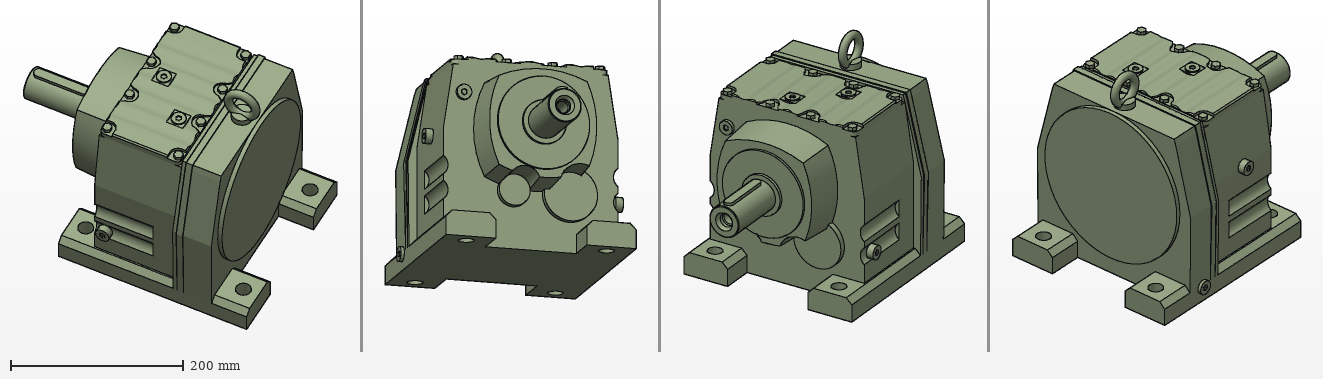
import cadquery as cq
import math

AXIS_Z = 140.0

SHAFT_R = 20.0
SHAFT_END_CHAMFER = 1.0
KEY_START = 4.5
KEY_LENGTH = 70.7
KEY_WIDTH = 12.0
KEY_TOP = 23.0
CENTRE_MOUTH_R = 11.5
CENTRE_RELIEF_R = 8.5
CENTRE_CORE_R = 7.0
CENTRE_CONE_DEPTH = 5.0
CENTRE_RELIEF_DEPTH = 10.0
CENTRE_CORE_DEPTH = 40.8

COLLAR_X = 80.0
DISC_X = 84.0
NOSE_X = 87.5
CAP_X = 129.2
CASE_X = 137.0
COVER_END_X = 242.0
FLANGE_X = 244.0
BAND_X = 249.2
BLOCK_X = 257.7
MOTOR_DISC_X = 294.5
MOTOR_DISC_END_X = 300.2

COLLAR_R = 26.2
DISC_R = 55.5
NOSE_FRONT_REACH = 65.0
NOSE_FRONT_CORNER = 53.5
NOSE_REAR_REACH = 69.5
NOSE_REAR_CORNER = 56.0
SMALL_CAP_Y = 21.8
SMALL_CAP_R = 18.7
LARGE_CAP_Y = -46.2
LARGE_CAP_R = 32.3
LARGE_CAP_CLEARANCE_R = 26.0
CAP_Z = 69.0

CASE_HALF_WIDTH = 105.7
CASE_TOP_HALF_WIDTH = 94.0
CASE_TOP_Z = 216.5
SIDE_GROOVE_R = 13.5
SIDE_GROOVE_DEPTH = 5.5
SIDE_GROOVE_END_X = 213.0
SIDE_GROOVE_HEIGHTS = (95.0, 65.0)

COVER_TOP_Z = 226.5
COVER_CORNER_R = 6.5
COVER_EDGE_WIDTH = 2.0
COVER_EDGE_HEIGHT = 1.7
COVER_END_CHAMFER = 1.5
RIDGE_PITCH = 24.0
CHANNEL_COUNT = 6
CHANNEL_WIDTH = 12.2
CHANNEL_EDGE_DROP = 1.0
CHANNEL_DEPTH = 2.0
PAD_Z = 222.7
PAD_R = 10.5
CORNER_PAD_WIDTH = 17.7
CORNER_PAD_R = 10.0
PAD_MOUTH_HALF_WIDTH = 15.0
SCREW_INSET = 6.0
SCREW_R = 5.8
SCREW_TOP_Z = 227.0
OUTER_SCREW_Y = 85.7
INNER_SCREW_YS = (27.2, -28.5)

PLUG_R = 9.0
PLUG_SOCKET_R = 3.7
PLUG_SOCKET_DEPTH = 2.0
PLUG_ROOT = 6.8
SIDE_PLUG_REACH = 114.2
SIDE_PLUG_LENGTH = 9.2
VENT_PLUG_X = 187.5
VENT_PLUG_Z = 140.8
DRAIN_PLUG_X = 151.3
DRAIN_PLUG_Z = 66.0
FRONT_PLUG_Y = 81.5
FRONT_PLUG_Z = 183.0
BLOCK_PLUG_X = 271.3
BLOCK_PLUG_Z = 19.7
FRONT_PLUG_HEAD = 4.5
BLOCK_PLUG_REACH = 119.5
PLUG_PAD_SIDE = 21.5
TOP_PLUG_Z = 228.0
TOP_PLUGS = ((167.3, 12.0), (211.5, -37.0))

FLANGE_HALF_WIDTH = 116.3
FLANGE_WAIST_Z = 125.0
FLANGE_TOP_HALF_WIDTH = 91.0
FLANGE_TOP_Z = 225.0
BAND_LIP = 1.5
MOTOR_DISC_R = FLANGE_TOP_Z - FLANGE_WAIST_Z

FOOT_X = 95.0
FOOT_END_X = 340.0
FOOT_OUTER_Y = 115.3
FOOT_INNER_Y = 55.0
FOOT_HEIGHT = 30.0
FOOT_CHAMFER = 7.5
FOOT_HOLE_R = 9.2
FOOT_HOLE_Y = 85.0
FOOT_HOLE_XS = (115.0, 320.3)

EYE_X = 275.0
EYE_TOP_Z = 269.0
EYE_OUTER_R = 22.8
EYE_WIRE_R = 5.0
EYE_COLLAR_R = 12.5
EYE_COLLAR_TOP_Z = 233.0


def across(x):
    """Workplane square to the shaft: local axes are Y and Z, normal is +X."""
    return cq.Workplane("YZ", origin=(x, 0, 0))


def round_along_x(x_start, x_end, radius, y, z):
    return across(x_start).center(y, z).circle(radius).extrude(x_end - x_start)


def block_between(x_start, x_end, outline):
    return across(x_start).polyline(outline).close().extrude(x_end - x_start)


def mirrored_outline(half):
    """Close a right-hand chain of (y, z) points with its mirror image."""
    return half + [(-y, z) for y, z in reversed(half)]


def make_shaft():
    shaft = round_along_x(0, COLLAR_X, SHAFT_R, 0, AXIS_Z)
    shaft = shaft.faces("<X").chamfer(SHAFT_END_CHAMFER)
    key = (
        cq.Workplane("XY", origin=(KEY_START + KEY_LENGTH / 2, 0, AXIS_Z + SHAFT_R / 2))
        .slot2D(KEY_LENGTH, KEY_WIDTH)
        .extrude(KEY_TOP - SHAFT_R / 2)
    )
    drill_point = CENTRE_CORE_R / math.tan(math.radians(60))
    relief_step = CENTRE_RELIEF_R - CENTRE_CORE_R
    centre_hole = (
        cq.Workplane("XY", origin=(0, 0, AXIS_Z))
        .polyline([
            (0, 0),
            (0, CENTRE_MOUTH_R),
            (CENTRE_CONE_DEPTH, CENTRE_RELIEF_R),
            (CENTRE_RELIEF_DEPTH, CENTRE_RELIEF_R),
            (CENTRE_RELIEF_DEPTH + relief_step, CENTRE_CORE_R),
            (CENTRE_CORE_DEPTH, CENTRE_CORE_R),
            (CENTRE_CORE_DEPTH + drill_point, 0),
        ])
        .close()
        .revolve(360, (0, 0, 0), (1, 0, 0))
    )
    return shaft.union(key).cut(centre_hole)


def arched_square(plane, reach, corner):
    """Square outline centred on the shaft axis with four bulging arc sides."""
    return (
        plane.moveTo(corner, corner)
        .threePointArc((0, reach), (-corner, corner))
        .threePointArc((-reach, 0), (-corner, -corner))
        .threePointArc((0, -reach), (corner, -corner))
        .threePointArc((reach, 0), (corner, corner))
        .close()
    )


def make_nose():
    front = arched_square(across(NOSE_X).center(0, AXIS_Z), NOSE_FRONT_REACH, NOSE_FRONT_CORNER)
    both = arched_square(front.workplane(offset=CASE_X - NOSE_X), NOSE_REAR_REACH, NOSE_REAR_CORNER)
    nose = both.loft(ruled=True)
    nose = nose.cut(round_along_x(NOSE_X, CAP_X, SMALL_CAP_R, SMALL_CAP_Y, CAP_Z))
    nose = nose.cut(round_along_x(NOSE_X, CAP_X, LARGE_CAP_CLEARANCE_R, LARGE_CAP_Y, CAP_Z))
    nose = nose.union(round_along_x(CAP_X, CASE_X, SMALL_CAP_R, SMALL_CAP_Y, CAP_Z))
    nose = nose.union(round_along_x(CAP_X, CASE_X, LARGE_CAP_R, LARGE_CAP_Y, CAP_Z))
    nose = nose.union(round_along_x(DISC_X, NOSE_X, DISC_R, 0, AXIS_Z))
    return nose.union(round_along_x(COLLAR_X, DISC_X, COLLAR_R, 0, AXIS_Z))


def make_case():
    half = [(CASE_HALF_WIDTH, 0), (CASE_HALF_WIDTH, AXIS_Z), (CASE_TOP_HALF_WIDTH, CASE_TOP_Z)]
    case = block_between(CASE_X, FLANGE_X, mirrored_outline(half))
    groove_centre_y = CASE_HALF_WIDTH - SIDE_GROOVE_DEPTH + SIDE_GROOVE_R
    for side in (-1, 1):
        for z in SIDE_GROOVE_HEIGHTS:
            case = case.cut(
                round_along_x(CASE_X, SIDE_GROOVE_END_X, SIDE_GROOVE_R, side * groove_centre_y, z)
            )
    return case


def cover_section():
    """Cover cross-section: flat borders and six shallow channels between rounded ridges."""
    border_y = RIDGE_PITCH * CHANNEL_COUNT / 2
    shoulder_z = COVER_TOP_Z - COVER_EDGE_HEIGHT
    channel_edge_z = COVER_TOP_Z - CHANNEL_EDGE_DROP
    ridge_half_width = (RIDGE_PITCH - CHANNEL_WIDTH) / 2
    ridge_r = (ridge_half_width**2 + CHANNEL_EDGE_DROP**2) / (2 * CHANNEL_EDGE_DROP)
    section = (
        across(CASE_X)
        .moveTo(-CASE_TOP_HALF_WIDTH, CASE_TOP_Z)
        .lineTo(-CASE_TOP_HALF_WIDTH, shoulder_z)
        .lineTo(COVER_EDGE_WIDTH - CASE_TOP_HALF_WIDTH, COVER_TOP_Z)
        .lineTo(-border_y, COVER_TOP_Z)
    )
    for index in range(CHANNEL_COUNT):
        middle = (index + 0.5) * RIDGE_PITCH - border_y
        channel_end = (middle + CHANNEL_WIDTH / 2, channel_edge_z)
        section = (
            section.radiusArc((middle - CHANNEL_WIDTH / 2, channel_edge_z), ridge_r)
            .threePointArc((middle, COVER_TOP_Z - CHANNEL_DEPTH), channel_end)
            .radiusArc((middle + RIDGE_PITCH / 2, COVER_TOP_Z), ridge_r)
        )
    return (
        section.lineTo(CASE_TOP_HALF_WIDTH - COVER_EDGE_WIDTH, COVER_TOP_Z)
        .lineTo(CASE_TOP_HALF_WIDTH, shoulder_z)
        .lineTo(CASE_TOP_HALF_WIDTH, CASE_TOP_Z)
        .close()
    )


def inner_pad_recess(edge_x, inward, y):
    """Recess around an inner screw: a round end flaring out to the cover edge."""
    x = edge_x + inward * SCREW_INSET
    plane = cq.Workplane("XY", origin=(0, 0, PAD_Z))
    height = COVER_TOP_Z - PAD_Z
    mouth = (
        plane.polyline([
            (edge_x, y - PAD_MOUTH_HALF_WIDTH),
            (x, y - PAD_R),
            (x, y + PAD_R),
            (edge_x, y + PAD_MOUTH_HALF_WIDTH),
        ])
        .close()
        .extrude(height)
    )
    return mouth.union(plane.center(x, y).circle(PAD_R).extrude(height))


def corner_pad_recess(edge_x, inward, side):
    """Recess open at both outer edges of a cover corner, rounded at its inner corner."""
    length = SCREW_INSET + PAD_R
    inner_x = ">X" if inward > 0 else "<X"
    inner_y = "<Y" if side > 0 else ">Y"
    return (
        cq.Workplane("XY", origin=(edge_x, side * CASE_TOP_HALF_WIDTH, PAD_Z))
        .center(inward * length / 2, -side * CORNER_PAD_WIDTH / 2)
        .rect(length, CORNER_PAD_WIDTH)
        .extrude(COVER_TOP_Z - PAD_Z)
        .edges("|Z")
        .edges(f"{inner_x} and {inner_y}")
        .fillet(CORNER_PAD_R)
    )


def make_screw_head(edge_x, inward, y):
    return (
        cq.Workplane("XY", origin=(edge_x + inward * SCREW_INSET, y, PAD_Z))
        .transformed(rotate=(0, 0, 90))
        .polygon(6, 2 * SCREW_R)
        .extrude(SCREW_TOP_Z - PAD_Z)
    )


def make_cover():
    length = COVER_END_X - CASE_X
    outline = (
        cq.Workplane("XY", origin=((CASE_X + COVER_END_X) / 2, 0, CASE_TOP_Z))
        .rect(length, 2 * CASE_TOP_HALF_WIDTH)
        .extrude(COVER_TOP_Z - CASE_TOP_Z)
        .edges("|Z")
        .fillet(COVER_CORNER_R)
        .faces(">Z")
        .edges("|Y")
        .chamfer(COVER_EDGE_HEIGHT, COVER_END_CHAMFER)
    )
    cover = cover_section().extrude(length).intersect(outline)
    for edge_x, inward in ((CASE_X, 1), (COVER_END_X, -1)):
        for y in INNER_SCREW_YS:
            cover = cover.cut(inner_pad_recess(edge_x, inward, y))
            cover = cover.union(make_screw_head(edge_x, inward, y))
        for side in (-1, 1):
            cover = cover.cut(corner_pad_recess(edge_x, inward, side))
            cover = cover.union(make_screw_head(edge_x, inward, side * OUTER_SCREW_Y))
    for x, y in TOP_PLUGS:
        pad = (
            cq.Workplane("XY", origin=(x, y, PAD_Z))
            .rect(PLUG_PAD_SIDE, PLUG_PAD_SIDE)
            .extrude(COVER_TOP_Z - PAD_Z)
        )
        cover = cover.union(pad)
    return cover


def flange_section(x_start, x_end, lip):
    half = [
        (FOOT_OUTER_Y, 0),
        (FOOT_OUTER_Y, FOOT_HEIGHT - FOOT_CHAMFER),
        (FLANGE_HALF_WIDTH + lip, FLANGE_WAIST_Z),
        (CASE_TOP_HALF_WIDTH + lip, CASE_TOP_Z),
        (FLANGE_TOP_HALF_WIDTH + lip, FLANGE_TOP_Z + lip),
    ]
    return block_between(x_start, x_end, mirrored_outline(half))


def make_flange():
    flange = flange_section(FLANGE_X, BAND_X, 0)
    flange = flange.union(flange_section(BAND_X, BLOCK_X, BAND_LIP))
    flange = flange.union(flange_section(BLOCK_X, MOTOR_DISC_X, 0))
    return flange.union(
        round_along_x(MOTOR_DISC_X, MOTOR_DISC_END_X, MOTOR_DISC_R, 0, FLANGE_WAIST_Z)
    )


def make_foot(side):
    width = FOOT_OUTER_Y - FOOT_INNER_Y
    middle_y = side * (FOOT_OUTER_Y + FOOT_INNER_Y) / 2
    return (
        across(FOOT_X)
        .center(middle_y, FOOT_HEIGHT / 2)
        .rect(width, FOOT_HEIGHT)
        .extrude(FOOT_END_X - FOOT_X)
        .edges("|X and >Z")
        .chamfer(FOOT_CHAMFER)
    )


def foot_holes():
    centres = [(x, side * FOOT_HOLE_Y) for x in FOOT_HOLE_XS for side in (-1, 1)]
    return cq.Workplane("XY").pushPoints(centres).circle(FOOT_HOLE_R).extrude(FOOT_HEIGHT)


def make_eye():
    ring_r = EYE_OUTER_R - EYE_WIRE_R
    ring_z = EYE_TOP_Z - EYE_OUTER_R
    ring = cq.Workplane(cq.Solid.makeTorus(
        ring_r, EYE_WIRE_R, cq.Vector(EYE_X, 0, ring_z), cq.Vector(0, 1, 0)
    ))
    collar = (
        cq.Workplane("XY", origin=(EYE_X, 0, FLANGE_TOP_Z))
        .circle(EYE_COLLAR_R)
        .extrude(EYE_COLLAR_TOP_Z - FLANGE_TOP_Z)
    )
    return collar.union(ring)


def make_plug(face_centre, outward, length):
    """Round plug whose outer face, with a hexagon socket, sits at face_centre."""
    plane = cq.Plane(origin=face_centre, normal=outward)
    plug = cq.Workplane(plane).circle(PLUG_R).extrude(-length)
    socket = cq.Workplane(plane).polygon(6, 2 * PLUG_SOCKET_R).extrude(-PLUG_SOCKET_DEPTH)
    return plug.cut(socket)


def make_fixed_plugs():
    front_face = (CASE_X - FRONT_PLUG_HEAD, FRONT_PLUG_Y, FRONT_PLUG_Z)
    block_face = (BLOCK_PLUG_X, BLOCK_PLUG_REACH, BLOCK_PLUG_Z)
    block_length = BLOCK_PLUG_REACH - FOOT_OUTER_Y + PLUG_ROOT
    plugs = [
        make_plug((VENT_PLUG_X, SIDE_PLUG_REACH, VENT_PLUG_Z), (0, 1, 0), SIDE_PLUG_LENGTH),
        make_plug(front_face, (-1, 0, 0), FRONT_PLUG_HEAD + PLUG_ROOT),
        make_plug(block_face, (0, 1, 0), block_length),
    ]
    for x, y in TOP_PLUGS:
        plugs.append(make_plug((x, y, TOP_PLUG_Z), (0, 0, 1), PLUG_ROOT))
    return plugs


def make_gear_unit():
    gear_unit = make_case().union(make_cover()).union(make_flange()).union(make_nose())
    gear_unit = gear_unit.union(make_shaft())
    for side in (-1, 1):
        gear_unit = gear_unit.union(make_foot(side))
    gear_unit = gear_unit.cut(foot_holes())
    gear_unit = gear_unit.union(make_eye())
    for plug in make_fixed_plugs():
        gear_unit = gear_unit.union(plug)
    return gear_unit


def make_drain_plug():
    """Separate plug standing clear of the floor of the lower side groove."""
    face_centre = (DRAIN_PLUG_X, -SIDE_PLUG_REACH, DRAIN_PLUG_Z)
    return make_plug(face_centre, (0, -1, 0), SIDE_PLUG_LENGTH)


gear_unit = make_gear_unit()
drain_plug = make_drain_plug()
result = cq.Compound.makeCompound([gear_unit.solids().val(), drain_plug.solids().val()])